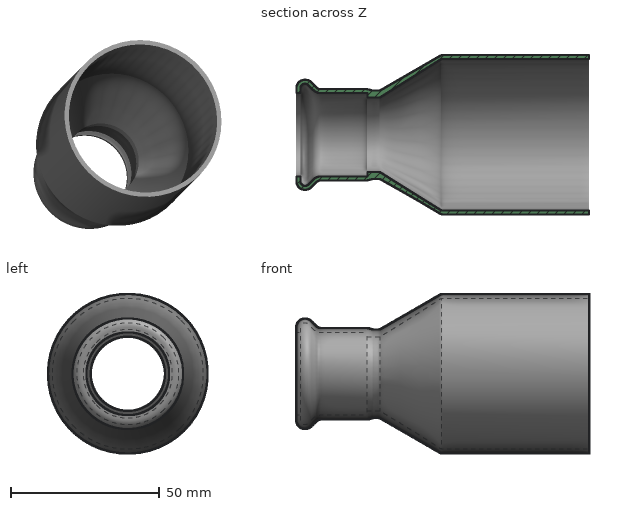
import cadquery as cq
import math


length = 99.0
large_radius = 54.0 / 2
large_wall = 1.5

socket_radius = 31.0 / 2
socket_wall = 1.5
socket_bore_radius = socket_radius - socket_wall
socket_depth = 24.0
bead_radius = 3.0
bead_center_radius = 15.7
bead_slope = 45.0
bead_blend_radius = 2.0

neck_radius = 30.0 / 2
neck_bore_radius = 25.0 / 2
step_slope = 15.0
step_start = 24.07
step_top_blend = 2.5
step_bottom_blend = 0.8

cone_slope = 30.0
cone_start = 28.25
cone_blend = 2.0

step_end = step_start + (socket_radius - neck_radius) / math.tan(math.radians(step_slope))
cone_length = (large_radius - neck_radius) / math.tan(math.radians(cone_slope))
cone_end = cone_start + cone_length

bead_sin = math.sin(math.radians(bead_slope))
bead_cos = math.cos(math.radians(bead_slope))


def bead_points(arc_radius, blend_radius, tube_radius):
    """Points along a bead skin: arc end, blend start and blend end."""
    arc_end = (
        bead_radius + arc_radius * bead_sin,
        bead_center_radius + arc_radius * bead_cos,
    )
    blend_start_height = tube_radius + blend_radius * (1 - bead_cos)
    slope_drop = arc_end[1] - blend_start_height
    blend_start = (
        arc_end[0] + slope_drop / math.tan(math.radians(bead_slope)),
        blend_start_height,
    )
    blend_end = (blend_start[0] + blend_radius * bead_sin, tube_radius)
    return arc_end, blend_start, blend_end


def rounded_corner(profile, corner, blend_radius, angle_in, angle_out):
    """Draw up to a corner and round it, given the travel angles before and after it."""
    setback = blend_radius * math.tan(math.radians(abs(angle_out - angle_in)) / 2)
    way_in = math.radians(angle_in)
    way_out = math.radians(angle_out)
    start = (
        corner[0] - setback * math.cos(way_in),
        corner[1] - setback * math.sin(way_in),
    )
    end = (
        corner[0] + setback * math.cos(way_out),
        corner[1] + setback * math.sin(way_out),
    )
    return profile.lineTo(*start).tangentArcPoint(end, relative=False)


def draw_outside(profile):
    """Draw the outer skin from the mouth to the large end."""
    arc_end, blend_start, blend_end = bead_points(
        bead_radius, bead_blend_radius, socket_radius
    )
    profile = profile.lineTo(0, bead_center_radius)
    profile = profile.tangentArcPoint(arc_end, relative=False)
    profile = profile.lineTo(*blend_start).tangentArcPoint(blend_end, relative=False)
    profile = rounded_corner(profile, (step_start, socket_radius), step_top_blend, 0, -step_slope)
    profile = rounded_corner(profile, (step_end, neck_radius), step_bottom_blend, -step_slope, 0)
    profile = rounded_corner(profile, (cone_start, neck_radius), cone_blend, 0, cone_slope)
    profile = rounded_corner(profile, (cone_end, large_radius), cone_blend, cone_slope, 0)
    return profile.lineTo(length, large_radius)


def draw_inside(profile):
    """Draw the bore from the large end back to the mouth, with the O-ring groove inside the bead."""
    groove_radius = bead_radius - socket_wall
    arc_end, blend_start, blend_end = bead_points(
        groove_radius, bead_blend_radius + socket_wall, socket_bore_radius
    )
    large_bore_radius = large_radius - large_wall
    profile = profile.lineTo(length, large_bore_radius)
    profile = profile.lineTo(cone_end, large_bore_radius)
    profile = profile.lineTo(cone_start, neck_bore_radius)
    profile = profile.lineTo(socket_depth, neck_bore_radius)
    profile = profile.lineTo(socket_depth, socket_bore_radius)
    profile = profile.lineTo(*blend_end).tangentArcPoint(blend_start, relative=False)
    profile = profile.lineTo(*arc_end)
    profile = profile.tangentArcPoint((socket_wall, bead_center_radius), relative=False)
    return profile.lineTo(socket_wall, socket_bore_radius)


section = cq.Workplane("XY").moveTo(0, socket_bore_radius)
section = draw_inside(draw_outside(section)).close()
result = section.revolve(360, (0, 0, 0), (1, 0, 0))